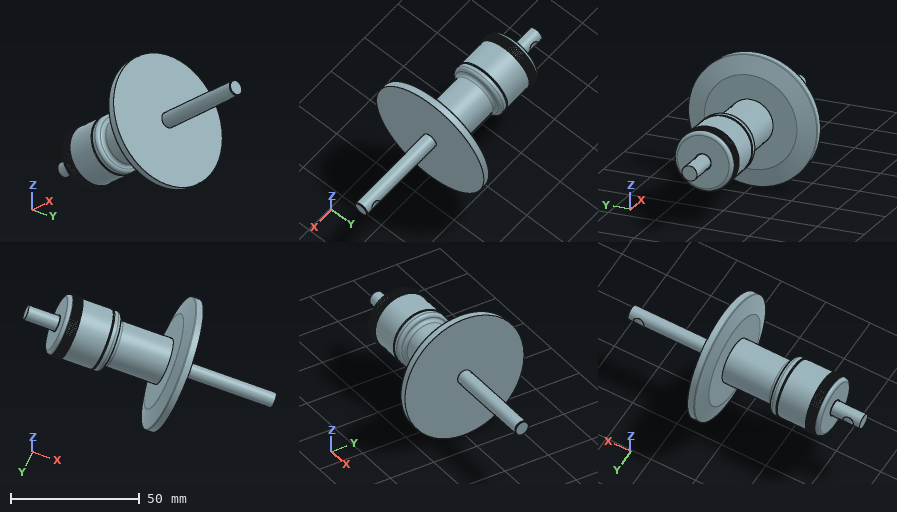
import cadquery as cq
import math


ARC_SAG = 1 - math.sqrt(0.5)

ROD_LENGTH = 104.6
ROD_DIAMETER = 6.4
ROD_RADIUS = ROD_DIAMETER / 2
ROD_TIP_CHAMFER = 0.3
NOTCH_RADIUS = 4.7
NOTCH_DEPTH = 0.6
NOTCH_INSET = 5.1

NUT_START = 13.0
NUT_DIAMETER = 25.0
NUT_RADIUS = NUT_DIAMETER / 2
EDGE_RADIUS = 1.5
NUT_MOUTH_CHAMFER = 0.26
GROOVE_POSITION = 31.9
GROOVE_WIDTH = 0.6
GROOVE_DEPTH = 0.3

KNURL_START = 14.8
KNURL_END = 18.7
KNURL_RADIUS = 12.8
KNURL_SLOT_COUNT = 115
KNURL_SLOT_WIDTH = 0.18
KNURL_SLOT_DEPTH = 0.16

TUBE_RADIUS = 9.5
SHOULDER_START = 33.9
SHOULDER_RADIUS = (NUT_RADIUS - TUBE_RADIUS) / 2

FLANGE_RADIUS = 27.5
FLANGE_FACE_RADIUS = 19.7
FLANGE_START = 58.2
FLANGE_RIM_START = 60.2
FLANGE_END = 63.3
FLANGE_RIM_ROUNDING = 0.3


def make_rod():
    """Rod with a chamfered far tip and a curved notch across its +Y side near each end."""
    rod = cq.Workplane("YZ").circle(ROD_RADIUS).extrude(ROD_LENGTH)
    rod = rod.faces(">X").chamfer(ROD_TIP_CHAMFER)
    cutter_y = ROD_RADIUS - NOTCH_DEPTH + NOTCH_RADIUS
    notches = (
        cq.Workplane("XY")
        .pushPoints([(NOTCH_INSET, cutter_y), (ROD_LENGTH - NOTCH_INSET, cutter_y)])
        .circle(NOTCH_RADIUS)
        .extrude(ROD_RADIUS, both=True)
    )
    return rod.cut(notches)


def make_body():
    """Nut and tube turned from one half outline (X along, Y outward)."""
    mouth_bottom = NUT_START + NUT_MOUTH_CHAMFER
    mouth_radius = ROD_RADIUS + NUT_MOUTH_CHAMFER
    groove_half = GROOVE_WIDTH / 2
    edge_sag = EDGE_RADIUS * ARC_SAG
    shoulder_middle_x = SHOULDER_START + SHOULDER_RADIUS
    shoulder_middle_r = NUT_RADIUS - SHOULDER_RADIUS
    shoulder_end = shoulder_middle_x + SHOULDER_RADIUS
    shoulder_sag = SHOULDER_RADIUS * ARC_SAG
    outline = (
        cq.Workplane("XY")
        .moveTo(mouth_bottom, 0)
        .lineTo(mouth_bottom, ROD_RADIUS)
        .lineTo(NUT_START, mouth_radius)
        .lineTo(NUT_START, NUT_RADIUS - EDGE_RADIUS)
        .threePointArc(
            (NUT_START + edge_sag, NUT_RADIUS - edge_sag),
            (NUT_START + EDGE_RADIUS, NUT_RADIUS),
        )
        .lineTo(GROOVE_POSITION - groove_half, NUT_RADIUS)
        .lineTo(GROOVE_POSITION, NUT_RADIUS - GROOVE_DEPTH)
        .lineTo(GROOVE_POSITION + groove_half, NUT_RADIUS)
        .lineTo(SHOULDER_START, NUT_RADIUS)
        .threePointArc(
            (shoulder_middle_x - shoulder_sag, NUT_RADIUS - shoulder_sag),
            (shoulder_middle_x, shoulder_middle_r),
        )
        .threePointArc(
            (shoulder_middle_x + shoulder_sag, TUBE_RADIUS + shoulder_sag),
            (shoulder_end, TUBE_RADIUS),
        )
        .lineTo(FLANGE_START, TUBE_RADIUS)
        .lineTo(FLANGE_START, 0)
        .close()
    )
    return outline.revolve(360, (0, 0), (1, 0))


def make_flange():
    """Disc with a conical front and a lightly rounded front rim."""
    flange = (
        cq.Workplane("XY")
        .moveTo(FLANGE_START, 0)
        .lineTo(FLANGE_START, FLANGE_FACE_RADIUS)
        .lineTo(FLANGE_RIM_START, FLANGE_RADIUS)
        .lineTo(FLANGE_END, FLANGE_RADIUS)
        .lineTo(FLANGE_END, 0)
        .close()
        .revolve(360, (0, 0), (1, 0))
    )
    front_rim = flange.edges(cq.selectors.RadiusNthSelector(-1)).edges("<X")
    return front_rim.fillet(FLANGE_RIM_ROUNDING)


def make_knurl():
    """Raised band with straight narrow slots; one land is centred on -Y."""
    pitch = 2 * math.pi / KNURL_SLOT_COUNT
    half_slot = KNURL_SLOT_WIDTH / (2 * KNURL_RADIUS)
    floor_radius = KNURL_RADIUS - KNURL_SLOT_DEPTH

    def point(radius, angle):
        return (-radius * math.cos(angle), radius * math.sin(angle))

    first_corner = half_slot - pitch / 2
    profile = cq.Workplane("YZ", origin=(KNURL_START, 0, 0)).moveTo(*point(KNURL_RADIUS, first_corner))
    for i in range(KNURL_SLOT_COUNT):
        land = i * pitch
        slot = land + pitch / 2
        profile = (
            profile
            .threePointArc(point(KNURL_RADIUS, land), point(KNURL_RADIUS, slot - half_slot))
            .lineTo(*point(floor_radius, slot - half_slot))
            .lineTo(*point(floor_radius, slot + half_slot))
            .lineTo(*point(KNURL_RADIUS, slot + half_slot))
        )
    return profile.close().extrude(KNURL_END - KNURL_START)


result = make_body().union(make_knurl()).union(make_flange()).union(make_rod())